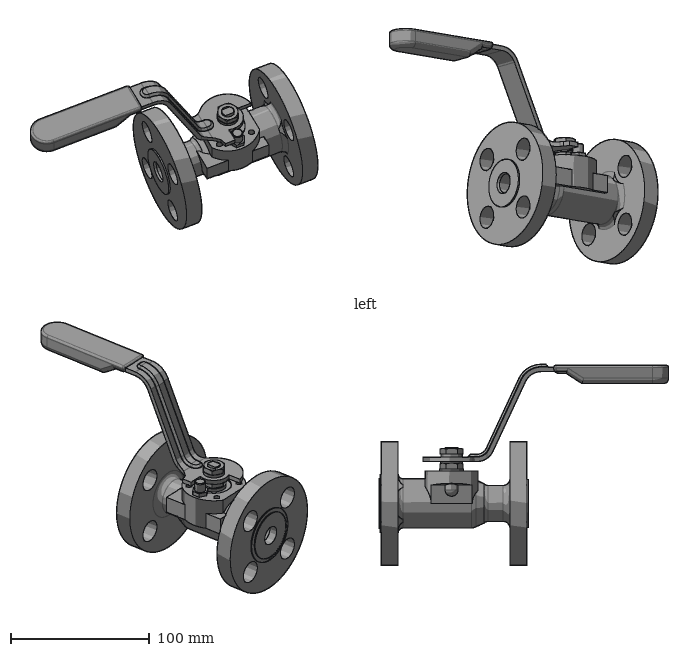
import cadquery as cq
import math


flange_diameter = 89.0
flange_thickness = 12.3
bolt_circle_diameter = 60.3
bolt_hole_diameter = 16.0
front_face_y = -55.5
front_face_diameter = 34.8
front_face_height = 1.3
back_face_y = 52.4
back_step_diameter = 41.7
back_step_height = 0.8
bore_diameter = 13.8
bore_mouth_diameter = 15.5
bore_mouth_depth = 1.7
pipe_diameter = 35.7
neck_diameter = 26.0
pipe_flare = 3.3
scallop_diameter = 25.0
neck_flare = 4.8
shoulder_start_y = -14.4
cone_start_y = -17.5
cone_start_radius = 16.9
cone_end_y = -23.2
cone_end_radius = 14.4
neck_start_y = -26.3

insert_diameter = 35.9
insert_length = 6.3
insert_height = 1.7

collar_radius = 23.2
collar_half_depth = 19.08
collar_top_z = 23.4
relief_x = -18.0
relief_top_z = 13.1
relief_slope = 15
stop_x = 15.9
stop_boss_diameter = 10.2
stop_boss_center_z = 9.8
pad_x = 21.0
pad_back_y = 22.7
pad_front_y = -26.7
pad_height = 12.5
mounting_circle_diameter = 36.0
mounting_hole_diameter = 4.2
mounting_hole_depth = 6.3
gland_recess_diameter = 25.0
gland_recess_depth = 1.0

stem_diameter = 9.4
stem_flat_width = 5.8
stem_bottom_z = 12.5
stem_top_z = 40.35
gland_flange_diameter = 17.5
gland_flange_top_z = 24.8
gland_hex_top_z = 29.0
gland_rim_diameter = 16.0
nut_corner_diameter = 16.7
nut_height = 4.0
nut_bevel_height = 0.6
nut_bevel_width = 1.0
stem_chamfer = 0.5
washer_diameter = 15.5
washer_thickness = 2.3

pin_diameter = 8.0
pin_hex_flats = 10.2
pin_hex_top_z = 26.3
pin_bottom_z = 16.7
pin_chamfer = 0.6

lever_thickness = 3.3
lever_top_z = 33.4
lever_rise = 64.76
lever_slope = math.radians(65)
lever_bend_y = -18.1
lower_bend_radius = 9.5
upper_bend_radius = 15.9
lever_width = 19.8
lever_disc_radius = 21.0
lever_neck_radius = 14.0
lever_end_y = -146.0
cutout_offset = 4.2
cutout_radius = 11.3
tab_front_y = -11.9
tab_inner_x = 16.3
rib_width = 9.5
rib_side = 1.7
rib_height = 2.0
rib_back_y = -11.9
rib_front_y = -69.5

grip_width = 23.5
grip_back_y = -73.5
grip_front_y = -156.2
grip_top_z = 99.5
grip_shallow_z = 93.5
grip_deep_z = 86.1
grip_slope_start_y = -82.5
grip_slope_end_y = -93.9
grip_edge_fillet = 1.7
grip_bottom_fillet = 4.0

lever_bottom_z = lever_top_z - lever_thickness
recess_floor_z = collar_top_z - gland_recess_depth


def cylinder_z(diameter, bottom_z, top_z, x=0.0, y=0.0):
    """Upright cylinder between two heights."""
    return cq.Workplane("XY", origin=(x, y, bottom_z)).circle(diameter / 2).extrude(top_z - bottom_z)


def cylinder_y(diameter, start_y, end_y, x=0.0, z=0.0):
    """Cylinder parallel to the pipe between two Y positions, start_y being the smaller."""
    return cq.Workplane("XZ", origin=(x, start_y, z)).circle(diameter / 2).extrude(start_y - end_y)


def hexagon_z(corner_diameter, bottom_z, top_z, x=0.0):
    """Upright hexagonal prism with two corners on the Y direction."""
    prism = cq.Workplane("XY", origin=(x, 0, bottom_z)).polygon(6, corner_diameter).extrude(top_z - bottom_z)
    return prism.rotate((x, 0, 0), (x, 0, 1), 90)


def box_between(low, high):
    """Box between two opposite corners."""
    size = [b - a for a, b in zip(low, high)]
    return cq.Workplane("XY").box(*size, centered=False).translate(low)



front_flange_y = front_face_y + front_face_height
front_flange_back_y = front_flange_y + flange_thickness
back_flange_y = back_face_y - insert_height
back_flange_front_y = back_flange_y - flange_thickness


def make_pipe():
    """Revolved pipe, neck and both flanges with their raised faces."""
    pipe_radius = pipe_diameter / 2
    neck_radius = neck_diameter / 2
    flange_radius = flange_diameter / 2
    bow = 1 - math.sqrt(0.5)
    profile = (
        cq.Workplane("XY")
        .moveTo(0, front_face_y)
        .lineTo(front_face_diameter / 2, front_face_y)
        .lineTo(front_face_diameter / 2, front_flange_y)
        .lineTo(flange_radius, front_flange_y)
        .lineTo(flange_radius, front_flange_back_y)
        .lineTo(neck_radius + neck_flare, front_flange_back_y)
        .threePointArc(
            (neck_radius + neck_flare * bow, front_flange_back_y + neck_flare * bow),
            (neck_radius, front_flange_back_y + neck_flare),
        )
        .lineTo(neck_radius, neck_start_y)
        .tangentArcPoint((cone_end_radius, cone_end_y), relative=False)
        .lineTo(cone_start_radius, cone_start_y)
        .tangentArcPoint((pipe_radius, shoulder_start_y), relative=False)
        .lineTo(pipe_radius, back_flange_front_y - pipe_flare)
        .threePointArc(
            (pipe_radius + pipe_flare * bow, back_flange_front_y - pipe_flare * bow),
            (pipe_radius + pipe_flare, back_flange_front_y),
        )
        .lineTo(flange_radius, back_flange_front_y)
        .lineTo(flange_radius, back_flange_y)
        .lineTo(back_step_diameter / 2, back_flange_y)
        .lineTo(back_step_diameter / 2, back_flange_y + back_step_height)
        .lineTo(0, back_flange_y + back_step_height)
        .close()
    )
    return profile.revolve(360, (0, 0, 0), (0, 1, 0))


def make_collar():
    """Round collar with flat front and back, cut back to a flat face under its -X side."""
    collar = cylinder_z(2 * collar_radius, 0, collar_top_z).intersect(
        box_between((-collar_radius, -collar_half_depth, 0), (collar_radius, collar_half_depth, collar_top_z))
    )
    outer_x = -collar_radius
    outer_z = relief_top_z + (relief_x - outer_x) * math.tan(math.radians(relief_slope))
    relief = (
        cq.Workplane("XZ", origin=(0, collar_radius, 0))
        .polyline([(relief_x, 0), (relief_x, relief_top_z), (outer_x, outer_z), (outer_x, 0)])
        .close()
        .extrude(2 * collar_radius)
    )
    return collar.cut(relief)


def make_stop_boss():
    """Round-ended boss that hangs under the collar."""
    boss = cylinder_z(stop_boss_diameter, stop_boss_center_z, recess_floor_z, x=-stop_x)
    return boss.union(cq.Workplane("XY").sphere(stop_boss_diameter / 2).translate((-stop_x, 0, stop_boss_center_z)))


def make_mounting_hole(x, y):
    """Blind hole with a drill point in the top of the collar."""
    radius = mounting_hole_diameter / 2
    profile = [
        (0, 0),
        (radius, 0),
        (radius, -mounting_hole_depth),
        (0, -mounting_hole_depth - radius / 2),
    ]
    hole = cq.Workplane("XZ").polyline(profile).close().revolve(360, (0, 0, 0), (0, 1, 0))
    return hole.translate((x, y, collar_top_z))


def make_body():
    """Pipe with collar, boss and side pad, and all their holes and recesses."""
    pad = box_between((0, pad_front_y, 0), (pad_x, pad_back_y, pad_height))
    body = make_pipe().union(make_collar()).union(make_stop_boss()).union(pad)

    body = body.cut(cylinder_y(bore_diameter, front_face_y, back_face_y))
    mouth = cq.Solid.makeCone(
        bore_mouth_diameter / 2,
        bore_diameter / 2,
        bore_mouth_depth,
        pnt=cq.Vector(0, front_face_y, 0),
        dir=cq.Vector(0, 1, 0),
    )
    body = body.cut(cq.Workplane(mouth))
    body = body.cut(cylinder_y(insert_diameter, back_face_y - insert_length, back_face_y))

    bolt_offset = bolt_circle_diameter / 2 * math.sqrt(0.5)
    hole_offset = mounting_circle_diameter / 2 * math.sqrt(0.5)
    scallop_y = back_flange_front_y - pipe_flare
    for side_x in (-1, 1):
        for side in (-1, 1):
            x, z = side_x * bolt_offset, side * bolt_offset
            body = body.cut(cylinder_y(bolt_hole_diameter, front_flange_y, front_flange_back_y, x, z))
            body = body.cut(cylinder_y(bolt_hole_diameter, back_flange_front_y, back_flange_y, x, z))
            body = body.cut(cylinder_y(scallop_diameter, scallop_y, back_flange_front_y, x, z))
            body = body.cut(make_mounting_hole(side_x * hole_offset, side * hole_offset))

    body = body.cut(cylinder_z(gland_recess_diameter, recess_floor_z, collar_top_z))
    body = body.cut(cylinder_z(stem_diameter, stem_bottom_z, collar_top_z))
    return body.cut(cylinder_z(pin_diameter, pin_bottom_z, collar_top_z, x=stop_x))



washer_top_z = lever_top_z + washer_thickness
nut_top_z = washer_top_z + nut_height


def make_insert():
    """Ring set into the back flange."""
    start_y = back_face_y - insert_length
    return cylinder_y(insert_diameter, start_y, back_face_y).cut(cylinder_y(bore_diameter, start_y, back_face_y))


def make_stem():
    """Round stem whose upper part has two flats."""
    flats = box_between(
        (-stem_flat_width / 2, -stem_diameter, lever_bottom_z), (stem_flat_width / 2, stem_diameter, stem_top_z)
    )
    shank = cylinder_z(stem_diameter, stem_bottom_z, lever_bottom_z)
    end = cylinder_z(stem_diameter, lever_bottom_z, stem_top_z).faces(">Z").chamfer(stem_chamfer)
    return shank.union(end.intersect(flats))


def make_nut_hexagon(bottom_z, top_z):
    """Hexagonal prism whose upper corners are bevelled round."""
    bevel = cq.Solid.makeCone(
        nut_corner_diameter / 2,
        nut_corner_diameter / 2 - nut_bevel_width,
        nut_bevel_height,
        pnt=cq.Vector(0, 0, top_z - nut_bevel_height),
    )
    blank = cylinder_z(nut_corner_diameter, bottom_z, top_z - nut_bevel_height).union(cq.Workplane(bevel))
    return hexagon_z(nut_corner_diameter, bottom_z, top_z).intersect(blank)


def make_gland_nut():
    """Flanged nut around the stem, between collar and lever."""
    gland = cylinder_z(gland_flange_diameter, recess_floor_z, gland_flange_top_z)
    gland = gland.union(make_nut_hexagon(gland_flange_top_z, gland_hex_top_z))
    gland = gland.union(cylinder_z(gland_rim_diameter, gland_hex_top_z, lever_bottom_z))
    return gland.cut(cylinder_z(stem_diameter, recess_floor_z, lever_bottom_z))


def make_washer():
    """Plain ring on top of the lever."""
    washer = cylinder_z(washer_diameter, lever_top_z, washer_top_z)
    return washer.cut(cylinder_z(stem_diameter, lever_top_z, washer_top_z))


def make_lever_nut():
    """Nut that holds the lever on the stem."""
    nut = make_nut_hexagon(washer_top_z, nut_top_z)
    return nut.cut(cylinder_z(stem_diameter, washer_top_z, nut_top_z))


def make_stop_pin():
    """Hexagon-headed pin whose round end stops the lever."""
    pin = cylinder_z(pin_diameter, pin_bottom_z, lever_top_z, x=stop_x).faces(">Z").chamfer(pin_chamfer)
    corner_diameter = pin_hex_flats / math.cos(math.radians(30))
    return pin.union(hexagon_z(corner_diameter, collar_top_z, pin_hex_top_z, x=stop_x))




def make_lever_strip(low_offset, high_offset, start_y, end_y, width):
    """Strip that follows the bent lever, between two offsets above the lever's upper surface."""
    sine = math.sin(lever_slope)
    drop = 1 - math.cos(lever_slope)
    straight_rise = lever_rise - (lower_bend_radius + upper_bend_radius) * drop
    run = (lower_bend_radius + upper_bend_radius) * sine + straight_rise / math.tan(lever_slope)
    lower_center = (lever_bend_y, lever_top_z + lower_bend_radius)
    upper_center = (lever_bend_y - run, lever_top_z + lever_rise - upper_bend_radius)

    def lower_bend(offset, angle):
        radius = lower_bend_radius - offset
        return (lower_center[0] - radius * math.sin(angle), lower_center[1] - radius * math.cos(angle))

    def upper_bend(offset, angle):
        radius = upper_bend_radius + offset
        return (upper_center[0] + radius * math.sin(angle), upper_center[1] + radius * math.cos(angle))

    half_slope = lever_slope / 2
    profile = (
        cq.Workplane("YZ", origin=(-width / 2, 0, 0))
        .moveTo(start_y, lever_top_z + low_offset)
        .lineTo(*lower_bend(low_offset, 0))
        .threePointArc(lower_bend(low_offset, half_slope), lower_bend(low_offset, lever_slope))
        .lineTo(*upper_bend(low_offset, lever_slope))
        .threePointArc(upper_bend(low_offset, half_slope), upper_bend(low_offset, 0))
        .lineTo(end_y, lever_top_z + lever_rise + low_offset)
        .lineTo(end_y, lever_top_z + lever_rise + high_offset)
        .lineTo(*upper_bend(high_offset, 0))
        .threePointArc(upper_bend(high_offset, half_slope), upper_bend(high_offset, lever_slope))
        .lineTo(*lower_bend(high_offset, lever_slope))
        .threePointArc(lower_bend(high_offset, half_slope), lower_bend(high_offset, 0))
        .lineTo(start_y, lever_top_z + high_offset)
        .close()
    )
    return profile.extrude(width)


def make_lever_outline():
    """Outline of the lever seen along the stem: disc, stop cutout, tab and arm."""
    half_width = lever_width / 2
    neck_x = half_width + lever_neck_radius
    neck_y = -math.sqrt((lever_disc_radius + lever_neck_radius) ** 2 - neck_x**2)
    disc_share = lever_disc_radius / (lever_disc_radius + lever_neck_radius)
    neck_join = (neck_x * disc_share, neck_y * disc_share)
    tab_root = (tab_inner_x, -math.sqrt(lever_disc_radius**2 - tab_inner_x**2))
    cutout_reach = math.sqrt(cutout_radius**2 - cutout_offset**2)
    cutout_middle = cutout_radius * math.sqrt(0.5)
    disc_end_y = math.sqrt(lever_disc_radius**2 - cutout_offset**2)
    neck_turn = math.atan2(-neck_y, neck_x) / 2
    root_angle = math.degrees(math.atan2(tab_root[1], tab_root[0]))
    join_angle = math.degrees(math.atan2(neck_join[1], neck_join[0]))

    def on_disc(degrees):
        angle = math.radians(degrees)
        return (lever_disc_radius * math.cos(angle), lever_disc_radius * math.sin(angle))

    def neck_middle(side):
        x = neck_x - lever_neck_radius * math.cos(neck_turn)
        return (side * x, neck_y + lever_neck_radius * math.sin(neck_turn))

    return (
        cq.Workplane("XY")
        .moveTo(-cutout_offset, disc_end_y)
        .lineTo(-cutout_offset, cutout_reach)
        .threePointArc((cutout_middle, cutout_middle), (cutout_reach, -cutout_offset))
        .lineTo(lever_disc_radius, -cutout_offset)
        .lineTo(lever_disc_radius, tab_front_y)
        .lineTo(*tab_root)
        .threePointArc(on_disc((root_angle + join_angle) / 2), neck_join)
        .threePointArc(neck_middle(1), (half_width, neck_y))
        .lineTo(half_width, lever_end_y)
        .lineTo(-half_width, lever_end_y)
        .lineTo(-half_width, neck_y)
        .threePointArc(neck_middle(-1), (-neck_join[0], neck_join[1]))
        .threePointArc(on_disc(180), (-cutout_offset, disc_end_y))
        .close()
        .extrude(lever_top_z + lever_rise)
    )


def make_rib():
    """Stiffening rib along the lever with rounded ends and sloping sides."""
    length = rib_back_y - rib_front_y
    plan = (
        cq.Workplane("XY", origin=(0, (rib_back_y + rib_front_y) / 2, 0))
        .slot2D(length, rib_width, 90)
        .extrude(2 * (lever_top_z + lever_rise))
    )
    rib = make_lever_strip(0, rib_height, rib_back_y, rib_front_y, rib_width).intersect(plan)
    return rib.faces(">Z").edges("%CIRCLE").chamfer(rib_side)


def make_lever(fitted_stem):
    """Bent strip with its rib, fitted on the flats of the stem."""
    strip = make_lever_strip(-lever_thickness, 0, lever_disc_radius, lever_end_y, 2 * lever_disc_radius)
    lever_blank = strip.intersect(make_lever_outline()).union(make_rib())
    return lever_blank.cut(fitted_stem)




def make_grip(enclosed_lever):
    """Sleeve with a rounded end, deeper towards its free end, fitted over the end of the lever."""
    half_width = grip_width / 2
    side = (
        cq.Workplane("YZ", origin=(-half_width, 0, 0))
        .polyline(
            [
                (grip_back_y, grip_top_z),
                (grip_front_y, grip_top_z),
                (grip_front_y, grip_deep_z),
                (grip_slope_end_y, grip_deep_z),
                (grip_slope_start_y, grip_shallow_z),
                (grip_back_y, grip_shallow_z),
            ]
        )
        .close()
        .extrude(grip_width)
    )
    plan = (
        cq.Workplane("XY")
        .moveTo(half_width, grip_back_y)
        .lineTo(half_width, grip_front_y + half_width)
        .threePointArc((0, grip_front_y), (-half_width, grip_front_y + half_width))
        .lineTo(-half_width, grip_back_y)
        .close()
        .extrude(grip_top_z)
    )
    sleeve = side.intersect(plan)
    sleeve = sleeve.faces(">Y").edges("|Z").fillet(grip_edge_fillet)
    sleeve = sleeve.faces(">Z").edges().fillet(grip_edge_fillet)
    sleeve = sleeve.faces("<Z or (not(#Z or |Z))").edges("not |X").fillet(grip_bottom_fillet)
    return sleeve.cut(enclosed_lever)


body = make_body()
insert = make_insert()
stem = make_stem()
gland_nut = make_gland_nut()
washer = make_washer()
lever_nut = make_lever_nut()
stop_pin = make_stop_pin()
lever = make_lever(stem)
grip = make_grip(lever)

result = cq.Compound.makeCompound(
    [
        body.val(),
        insert.val(),
        stem.val(),
        gland_nut.val(),
        washer.val(),
        lever_nut.val(),
        stop_pin.val(),
        lever.val(),
        grip.val(),
    ]
)